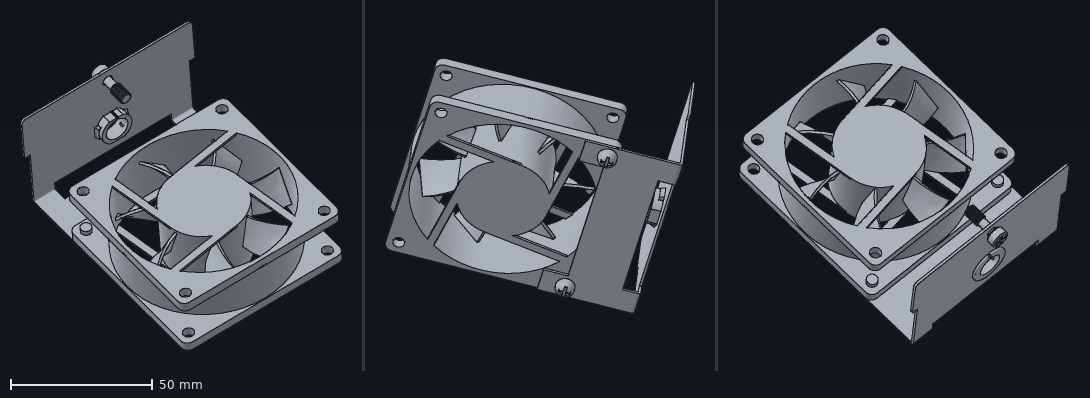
import cadquery as cq
import math

TILT = 5.0

SHEET = 1.0
BEND_OUTER = 1.2
BEND_INNER = 0.6
WALL_HEIGHT = 46.3
WALL_WIDTH = 75.0
EAR_HEIGHT = 20.0
EAR_TOP_RADIUS = 2.0
EAR_LOWER_RADIUS = 0.6
BEND_SLOT_WIDTH = 51.3
BEND_SLOT_HEIGHT = 4.4
BEND_SLOT_DEPTH = 6.6
PLATE_LENGTH = 35.6
LEG_START = 26.6

FAN_SIZE = 70.0
FAN_HEIGHT = 25.4
FAN_START = 22.0
FAN_CORNER_RADIUS = 3.0
FLANGE = 4.0
BARREL_RADIUS = 34.6
BORE_RADIUS = 33.4
HUB_RADIUS = 16.7
MOUNT_PITCH = 61.1
MOUNT_DIAMETER = 4.2
FAN_BASE = SHEET
FAN_TOP = FAN_BASE + FAN_HEIGHT
FAN_CENTRE = FAN_START + FAN_SIZE / 2
PLATE_WIDTH = FAN_SIZE

SPOKE_COUNT = 4
SPOKE_WIDTH = 3.0
SPOKE_THICKNESS = 1.0
SPOKE_ANGLE = 9.0

BLADE_COUNT = 7
BLADE_THICKNESS = 1.1
BLADE_SECTIONS = [
    (16.0, 1.2, 1.2, -2.4, 13.5),
    (23.5, 2.4, 2.2, -4.1, 13.6),
    (31.2, 5.4, 3.5, -4.7, 12.8),
]

MOUNT_HEAD_RADIUS = 3.5
MOUNT_HEAD_HEIGHT = 4.0
MOUNT_HEAD_RIM = 0.6
MOUNT_HEAD_FLAT = 1.2
MOUNT_TIP = 7.0
MOUNT_CROSS_LENGTH = 4.4
MOUNT_CROSS_WIDTH = 1.0
MOUNT_CROSS_DEPTH = 1.0

PANEL_SCREW_Z = 41.2
PANEL_HOLE_DIAMETER = 4.2
PANEL_HEAD_RADIUS = 3.5
PANEL_HEAD_START = -4.7
PANEL_HEAD_END = -0.9
PANEL_HEAD_CHAMFER = 0.5
PANEL_CROSS_LENGTH = 4.8
PANEL_CROSS_WIDTH = 0.9
PANEL_CROSS_DEPTH = 1.5
SHANK_RADIUS = 1.7
THREAD_RADIUS = 2.3
THREAD_ROOT_RADIUS = 1.9
THREAD_START = 5.4
THREAD_PITCH = 0.6
THREAD_TURNS = 11

BUSHING_Z = 18.2
BUSHING_RIM_RADIUS = 7.6
BUSHING_RIM = 1.0
BUSHING_RIM_FILLET = 0.4
BUSHING_BODY_RADIUS = 6.5
BUSHING_FLATS = 11.6
BUSHING_BORE_RADIUS = 4.7
BUSHING_END = 4.6
BUSHING_SLIT = 0.8
BUSHING_SLIT_OFFSET = 0.6
SNAP_SPAN = 14.4
SNAP_HEIGHT = 5.2
WINDOW_LENGTH = 1.7
WINDOW_HEIGHT = 6.3


def box(x_range, y_range, z_range):
    """A box between the two ends given along each axis."""
    sizes = [high - low for low, high in (x_range, y_range, z_range)]
    corner = (x_range[0], y_range[0], z_range[0])
    return cq.Workplane("XY").box(*sizes, centered=False).translate(corner)


def middle(width):
    """The two ends of a width centred on zero."""
    return (-width / 2, width / 2)


def mount_points(columns):
    """Fan hole places in the given columns: -1 beside the wall, 1 at the far end."""
    half = MOUNT_PITCH / 2
    return [(FAN_CENTRE + column * half, row * half) for column in columns for row in (-1, 1)]


def wall_plane(x, z):
    """Workplane facing +X in the middle of the wall, at a place through it and a height."""
    return cq.Workplane("YZ", origin=(x, 0, z))


def bushing_body(x_start, x_end):
    """Round bar along X with a flat above and below."""
    bar = wall_plane(x_start, BUSHING_Z).circle(BUSHING_BODY_RADIUS).extrude(x_end - x_start)
    flats = box((x_start, x_end), middle(WALL_WIDTH), middle(BUSHING_FLATS))
    return bar.intersect(flats.translate((0, 0, BUSHING_Z)))


def cross(length, width, depth):
    """Cross recess standing on z = 0 and rising by its depth."""
    bars = cq.Workplane("XY").rect(length, width).extrude(depth)
    return bars.union(cq.Workplane("XY").rect(width, length).extrude(depth))


def make_bracket():
    """Bent sheet: a wall with two ears and a plate with two legs below the fan."""
    sheet = (
        cq.Workplane("XZ")
        .moveTo(0, WALL_HEIGHT)
        .lineTo(0, BEND_OUTER)
        .radiusArc((BEND_OUTER, 0), -BEND_OUTER)
        .lineTo(PLATE_LENGTH, 0)
        .lineTo(PLATE_LENGTH, SHEET)
        .lineTo(SHEET + BEND_INNER, SHEET)
        .radiusArc((SHEET, SHEET + BEND_INNER), BEND_INNER)
        .lineTo(SHEET, WALL_HEIGHT)
        .close()
        .extrude(PLATE_WIDTH / 2, both=True)
    )
    ears = box((0, SHEET), middle(WALL_WIDTH), (WALL_HEIGHT - EAR_HEIGHT, WALL_HEIGHT))
    ears = ears.edges("|X and >Z").fillet(EAR_TOP_RADIUS).edges("|X and <Z").fillet(EAR_LOWER_RADIUS)
    corners = box((0, SHEET), middle(PLATE_WIDTH), (WALL_HEIGHT - EAR_HEIGHT, WALL_HEIGHT))
    bracket = sheet.cut(corners).union(ears)

    slot_width = middle(BEND_SLOT_WIDTH)
    bracket = bracket.cut(box((0, BEND_SLOT_DEPTH), slot_width, (0, BEND_SLOT_HEIGHT)))
    bracket = bracket.cut(box((LEG_START, PLATE_LENGTH), slot_width, (0, SHEET)))

    holes = cq.Workplane("XY").pushPoints(mount_points([-1])).circle(MOUNT_DIAMETER / 2).extrude(SHEET)
    panel_hole = wall_plane(0, PANEL_SCREW_Z).circle(PANEL_HOLE_DIAMETER / 2).extrude(SHEET)
    return bracket.cut(holes).cut(panel_hole).cut(bushing_body(0, SHEET))


def fan_plane(z):
    """Workplane on the fan axis at a height."""
    return cq.Workplane("XY", origin=(FAN_CENTRE, 0, z))


def make_frame():
    """Two square flanges joined by a round barrel."""
    frame = fan_plane(FAN_BASE).circle(BARREL_RADIUS).extrude(FAN_HEIGHT)
    for z in (FAN_BASE, FAN_TOP - FLANGE):
        flange = fan_plane(z).rect(FAN_SIZE, FAN_SIZE).extrude(FLANGE)
        frame = frame.union(flange.edges("|Z").fillet(FAN_CORNER_RADIUS))
    frame = frame.cut(fan_plane(FAN_BASE).circle(BORE_RADIUS).extrude(FAN_HEIGHT))
    holes = cq.Workplane("XY").pushPoints(mount_points([-1, 1])).circle(MOUNT_DIAMETER / 2).extrude(FAN_TOP)
    return frame.cut(holes)


def make_spokes():
    """Spokes at the top and the bottom of the bore, ending inside the flanges."""
    inner_offset = HUB_RADIUS - SPOKE_WIDTH
    reach = math.sqrt(((BORE_RADIUS + BARREL_RADIUS) / 2) ** 2 - inner_offset**2)
    spokes = cq.Workplane("XY")
    for z in (FAN_BASE, FAN_TOP - SPOKE_THICKNESS):
        for i in range(SPOKE_COUNT):
            spoke = box((0, reach), (inner_offset, HUB_RADIUS), (z, z + SPOKE_THICKNESS))
            spoke = spoke.rotate((0, 0, 0), (0, 0, 1), SPOKE_ANGLE + i * 360 / SPOKE_COUNT)
            spokes = spokes.union(spoke)
    return spokes.translate((FAN_CENTRE, 0, 0))


def make_blade():
    """One twisted blade pointing along +X from the fan axis."""
    blade = cq.Workplane("YZ")
    last_radius = 0
    for radius, lead, lead_depth, trail, trail_depth in BLADE_SECTIONS:
        chord = math.hypot(lead - trail, trail_depth - lead_depth)
        across_y = BLADE_THICKNESS / 2 * (trail_depth - lead_depth) / chord
        across_z = BLADE_THICKNESS / 2 * (lead - trail) / chord
        blade = blade.workplane(offset=radius - last_radius).polyline([
            (lead + across_y, -lead_depth - across_z),
            (lead - across_y, -lead_depth + across_z),
            (trail - across_y, -trail_depth + across_z),
            (trail + across_y, -trail_depth - across_z),
        ]).close()
        last_radius = radius
    return blade.loft(combine=True).translate((FAN_CENTRE, 0, FAN_TOP))


def make_mount_screw():
    """Fan screw along Z with its domed head under the plate."""
    shank_radius = MOUNT_DIAMETER / 2
    rim_point = (MOUNT_HEAD_RADIUS, -MOUNT_HEAD_RIM)
    flat_point = (MOUNT_HEAD_FLAT, -MOUNT_HEAD_HEIGHT)
    screw = (
        cq.Workplane("XZ")
        .moveTo(0, MOUNT_TIP)
        .lineTo(shank_radius, MOUNT_TIP)
        .lineTo(shank_radius, 0)
        .lineTo(MOUNT_HEAD_RADIUS, 0)
        .lineTo(*rim_point)
        .radiusArc(flat_point, MOUNT_HEAD_RADIUS)
        .lineTo(0, -MOUNT_HEAD_HEIGHT)
        .close()
        .revolve(360, (0, 0), (0, 1))
    )
    recess = cross(MOUNT_CROSS_LENGTH, MOUNT_CROSS_WIDTH, MOUNT_CROSS_DEPTH)
    return screw.cut(recess.translate((0, 0, -MOUNT_HEAD_HEIGHT)))


def make_fan():
    """Frame, spokes, hub, blades and the two screws fixed in the lower flange."""
    fan = make_frame().union(make_spokes())
    fan = fan.union(fan_plane(FAN_BASE).circle(HUB_RADIUS).extrude(FAN_HEIGHT))
    blade = make_blade()
    for i in range(BLADE_COUNT):
        angle = 180 + i * 360 / BLADE_COUNT
        fan = fan.union(blade.rotate((FAN_CENTRE, 0, 0), (FAN_CENTRE, 0, 1), angle))
    for x, y in mount_points([-1]):
        fan = fan.union(make_mount_screw().translate((x, y, 0)))
    return fan


def make_panel_screw():
    """Captive screw along X: cross head, thin shank and ringed thread."""
    profile = (
        cq.Workplane("XY")
        .moveTo(PANEL_HEAD_START, 0)
        .lineTo(PANEL_HEAD_START, PANEL_HEAD_RADIUS - PANEL_HEAD_CHAMFER)
        .lineTo(PANEL_HEAD_START + PANEL_HEAD_CHAMFER, PANEL_HEAD_RADIUS)
        .lineTo(PANEL_HEAD_END - PANEL_HEAD_CHAMFER, PANEL_HEAD_RADIUS)
        .lineTo(PANEL_HEAD_END, PANEL_HEAD_RADIUS - PANEL_HEAD_CHAMFER)
        .lineTo(PANEL_HEAD_END, SHANK_RADIUS)
        .lineTo(THREAD_START, SHANK_RADIUS)
        .lineTo(THREAD_START, THREAD_ROOT_RADIUS)
    )
    for turn in range(THREAD_TURNS):
        root = THREAD_START + turn * THREAD_PITCH
        profile = profile.lineTo(root + THREAD_PITCH / 2, THREAD_RADIUS)
        profile = profile.lineTo(root + THREAD_PITCH, THREAD_ROOT_RADIUS)
    thread_end = THREAD_START + THREAD_TURNS * THREAD_PITCH
    screw = profile.lineTo(thread_end, 0).close().revolve(360, (0, 0), (1, 0))
    recess = cross(PANEL_CROSS_LENGTH, PANEL_CROSS_WIDTH, PANEL_CROSS_DEPTH)
    recess = recess.rotate((0, 0, 0), (0, 1, 0), 90).translate((PANEL_HEAD_START, 0, 0))
    return screw.cut(recess).translate((0, 0, PANEL_SCREW_Z))


def make_bushing():
    """Split bushing with a rim outside the wall and a snap finger in a window on each side."""
    rim = wall_plane(-BUSHING_RIM, BUSHING_Z).circle(BUSHING_RIM_RADIUS).extrude(BUSHING_RIM)
    rim = rim.faces("<X").edges().fillet(BUSHING_RIM_FILLET)
    bushing = rim.union(bushing_body(0, BUSHING_END))
    window_end = SHEET + WINDOW_LENGTH
    window = box((SHEET, window_end), middle(SNAP_SPAN), middle(WINDOW_HEIGHT))
    fingers = (
        cq.Workplane("XY")
        .moveTo(window_end, BUSHING_BODY_RADIUS)
        .lineTo(SHEET, SNAP_SPAN / 2)
        .lineTo(SHEET, -SNAP_SPAN / 2)
        .lineTo(window_end, -BUSHING_BODY_RADIUS)
        .close()
        .extrude(SNAP_HEIGHT / 2, both=True)
    )
    bushing = bushing.cut(window.translate((0, 0, BUSHING_Z))).union(fingers.translate((0, 0, BUSHING_Z)))

    length = BUSHING_RIM + BUSHING_END
    bore = wall_plane(-BUSHING_RIM, BUSHING_Z).circle(BUSHING_BORE_RADIUS).extrude(length)
    slit = box((-BUSHING_RIM, BUSHING_END), middle(BUSHING_SLIT), (0, BUSHING_RIM_RADIUS))
    return bushing.cut(bore).cut(slit.translate((0, BUSHING_SLIT_OFFSET, BUSHING_Z)))


def tilted(body):
    """The body turned so that the plate rises towards +X."""
    return body.rotate((0, 0, 0), (0, 1, 0), -TILT)


bracket = tilted(make_bracket())
fan = tilted(make_fan())
panel_screw = tilted(make_panel_screw())
bushing = tilted(make_bushing())

result = cq.Compound.makeCompound([bracket.val(), fan.val(), panel_screw.val(), bushing.val()])